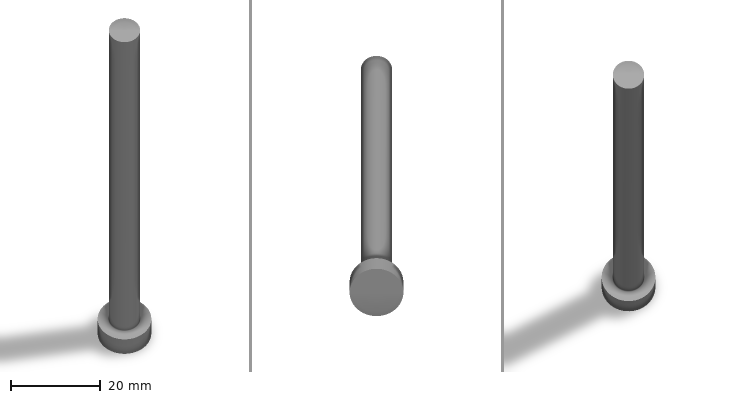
import cadquery as cq

head_diameter = 12.0
head_height = 5.0
shank_diameter = 7.0
overall_length = 105.0
shank_length = overall_length - head_height
neck_fillet_radius = 0.2


def make_head():
    """Flat disc with its underside at Z = 0."""
    return cq.Workplane("XY").circle(head_diameter / 2).extrude(head_height)


def add_shank(head):
    """Plain cylinder rising from the centre of the head."""
    return head.faces(">Z").workplane().circle(shank_diameter / 2).extrude(shank_length)


def round_neck(pin):
    """Small fillet in the corner where the shank meets the head."""
    smallest_circle = cq.selectors.RadiusNthSelector(0)
    neck = pin.faces("<Z[1]").edges(smallest_circle)
    return neck.fillet(neck_fillet_radius)


result = round_neck(add_shank(make_head()))